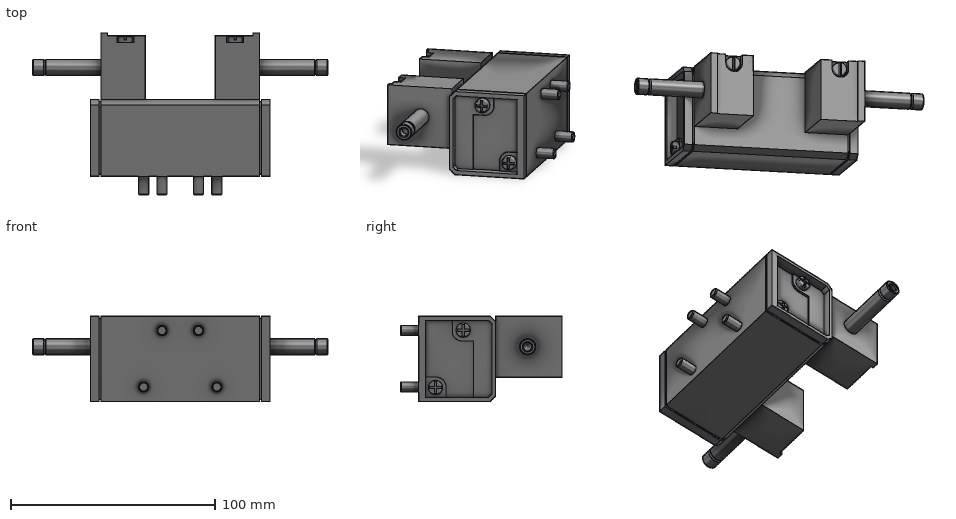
import cadquery as cq

BODY_LENGTH = 77.8
BODY_DEPTH = 37.7
BODY_HEIGHT = 42.0
BACK_CHAMFER = 2.7
BODY_END = BODY_LENGTH / 2

GASKET_THICKNESS = 0.9
GASKET_INSET = 1.0
FRAME_THICKNESS = 4.2
FRAME_START = BODY_END + GASKET_THICKNESS
FRAME_END = FRAME_START + FRAME_THICKNESS
WINDOW_FRONT = 3.5
WINDOW_BACK = BODY_DEPTH - 1.7
WINDOW_BOTTOM = 2.2
WINDOW_TOP = BODY_HEIGHT - WINDOW_BOTTOM
WINDOW_CHAMFER = 1.7

CUTOUT_BACK = 26.8
UPPER_TAB_FRONT = 16.5
UPPER_TAB_BOTTOM = 29.8
LOWER_TAB_BACK = 13.5
LOWER_TAB_TOP = 12.0
UPPER_TAB_RADIUS = 4.6
LOWER_TAB_RADIUS = 4.9
TAB_SCREWS = [(21.8, 35.0), (8.2, 7.0)]

SCREW_DIAMETER = 7.0
SCREW_HEIGHT = 2.9
SCREW_EDGE_RADIUS = 0.7
CROSS_LENGTH = 5.8
SLOT_WIDTH = 1.2
SLOT_DEPTH = 1.6

BLOCK_WIDTH = 21.8
BLOCK_DEPTH = 32.5
BLOCK_HEIGHT = 30.1
BLOCK_BOTTOM = BODY_HEIGHT - BLOCK_HEIGHT
BLOCK_BACK = BODY_DEPTH + BLOCK_DEPTH
LIP_WIDTH = 3.3
LIP_HEIGHT = 1.3
REAR_FACE = BLOCK_BACK - LIP_HEIGHT
POCKET_WIDTH = 8.4
POCKET_DEPTH = 3.5
POCKET_X = BODY_END - 12.0
POCKET_Z = BODY_HEIGHT - POCKET_WIDTH / 2

TUBE_END = 72.3
TUBE_DIAMETER = 8.0
TUBE_Y = BODY_DEPTH + 15.6
TUBE_Z = BLOCK_BOTTOM + BLOCK_HEIGHT / 2
TUBE_CHAMFER = 0.5
GROOVE_OUTER = 5.4
GROOVE_WIDTH = 1.3
GROOVE_DEPTH = 0.6
BORE_DIAMETER = 4.0
BORE_MOUTH = 5.0
BORE_DEPTH = 5.0
BORE_TIP = 1.2

PIN_DIAMETER = 5.0
PIN_LENGTH = 9.0
PIN_CHAMFER = 0.5
PIN_PLACES = [(9.0, 34.8), (18.0, 7.2)]


def box(x_range, y_range, z_range):
    """Box between pairs of limits."""
    sizes = [high - low for low, high in (x_range, y_range, z_range)]
    corner = (x_range[0], y_range[0], z_range[0])
    return cq.Workplane("XY").box(*sizes, centered=False).translate(corner)


def chamfered_prism(start, end, y_range, z_range, chamfer):
    """Prism along X with both of its back edges chamfered."""
    prism = box((start, end), y_range, z_range)
    return prism.edges("|X and >Y").chamfer(chamfer)


def make_screw(slot_length, slot_angles):
    """Round-edged screw head standing on the XY plane, with driver slots in its top."""
    head = cq.Workplane("XY").circle(SCREW_DIAMETER / 2).extrude(SCREW_HEIGHT)
    head = head.faces(">Z").edges().fillet(SCREW_EDGE_RADIUS)
    for angle in slot_angles:
        slot = (
            cq.Workplane("XY", origin=(0, 0, SCREW_HEIGHT - SLOT_DEPTH))
            .transformed(rotate=(0, 0, angle))
            .rect(slot_length, SLOT_WIDTH)
            .extrude(SLOT_DEPTH)
        )
        head = head.cut(slot)
    return head


def make_gasket():
    """Inset plate whose cut-out leaves a tab under each screw."""
    gasket = chamfered_prism(
        BODY_END,
        FRAME_START,
        (GASKET_INSET, BODY_DEPTH - GASKET_INSET),
        (GASKET_INSET, BODY_HEIGHT - GASKET_INSET),
        BACK_CHAMFER,
    )
    thickness = (BODY_END, FRAME_START)
    cutout = box(thickness, (WINDOW_FRONT, CUTOUT_BACK), (WINDOW_BOTTOM, WINDOW_TOP))
    upper_tab = box(thickness, (UPPER_TAB_FRONT, CUTOUT_BACK), (UPPER_TAB_BOTTOM, WINDOW_TOP))
    lower_tab = box(thickness, (WINDOW_FRONT, LOWER_TAB_BACK), (WINDOW_BOTTOM, LOWER_TAB_TOP))
    upper_tab = upper_tab.edges("|X and <Y and <Z").fillet(UPPER_TAB_RADIUS)
    lower_tab = lower_tab.edges("|X and >Y and >Z").fillet(LOWER_TAB_RADIUS)
    return gasket.cut(cutout.cut(upper_tab).cut(lower_tab))


def make_frame():
    """Open frame that ends the assembly."""
    frame = chamfered_prism(FRAME_START, FRAME_END, (0, BODY_DEPTH), (0, BODY_HEIGHT), BACK_CHAMFER)
    window = chamfered_prism(
        FRAME_START,
        FRAME_END,
        (WINDOW_FRONT, WINDOW_BACK),
        (WINDOW_BOTTOM, WINDOW_TOP),
        WINDOW_CHAMFER,
    )
    return frame.cut(window)


def make_block():
    """Solenoid block with a raised rear lip and a screw in an open-topped pocket."""
    inner_side = BODY_END - BLOCK_WIDTH
    z_range = (BLOCK_BOTTOM, BODY_HEIGHT)
    block = box((inner_side, BODY_END), (BODY_DEPTH, REAR_FACE), z_range)
    block = block.union(box((BODY_END - LIP_WIDTH, BODY_END), (BODY_DEPTH, BLOCK_BACK), z_range))

    pocket_floor = REAR_FACE - POCKET_DEPTH
    half_width = POCKET_WIDTH / 2
    y_range = (pocket_floor, REAR_FACE)
    opening = box((POCKET_X - half_width, POCKET_X + half_width), y_range, (POCKET_Z, BODY_HEIGHT))
    round_end = (
        cq.Workplane("XZ", origin=(POCKET_X, REAR_FACE, POCKET_Z))
        .circle(half_width)
        .extrude(POCKET_DEPTH)
    )
    screw = make_screw(SCREW_DIAMETER, [90]).rotate((0, 0, 0), (1, 0, 0), -90)
    screw = screw.translate((POCKET_X, pocket_floor, POCKET_Z))
    return block.cut(opening).cut(round_end).union(screw)


def make_tube():
    """Tube turned about its own axis, with a V groove and a drilled end."""
    radius = TUBE_DIAMETER / 2
    groove_start = TUBE_END - GROOVE_OUTER - GROOVE_WIDTH
    countersink = (BORE_MOUTH - BORE_DIAMETER) / 2
    profile = [
        (BODY_END, 0),
        (BODY_END, radius),
        (groove_start, radius),
        (groove_start + GROOVE_WIDTH / 2, radius - GROOVE_DEPTH),
        (groove_start + GROOVE_WIDTH, radius),
        (TUBE_END - TUBE_CHAMFER, radius),
        (TUBE_END, radius - TUBE_CHAMFER),
        (TUBE_END, BORE_MOUTH / 2),
        (TUBE_END - countersink, BORE_DIAMETER / 2),
        (TUBE_END - BORE_DEPTH, BORE_DIAMETER / 2),
        (TUBE_END - BORE_DEPTH - BORE_TIP, 0),
    ]
    tube = cq.Workplane("XY").polyline(profile).close().revolve(360, (0, 0, 0), (1, 0, 0))
    return tube.translate((0, TUBE_Y, TUBE_Z))


def make_pin(x, z):
    """Chamfered pin standing out of the front face."""
    pin = cq.Workplane("XZ", origin=(x, 0, z)).circle(PIN_DIAMETER / 2).extrude(PIN_LENGTH)
    return pin.faces("<Y").chamfer(PIN_CHAMFER)


def make_half():
    """Everything fixed to the right-hand half of the body."""
    half = make_gasket().union(make_frame()).union(make_block()).union(make_tube())
    side_screw = make_screw(CROSS_LENGTH, [0, 90]).rotate((0, 0, 0), (0, 1, 0), 90)
    for y, z in TAB_SCREWS:
        half = half.union(side_screw.translate((FRAME_START, y, z)))
    for x, z in PIN_PLACES:
        half = half.union(make_pin(x, z))
    return half


body = chamfered_prism(-BODY_END, BODY_END, (0, BODY_DEPTH), (0, BODY_HEIGHT), BACK_CHAMFER)
right_half = make_half()
result = body.union(right_half).union(right_half.mirror("YZ"))